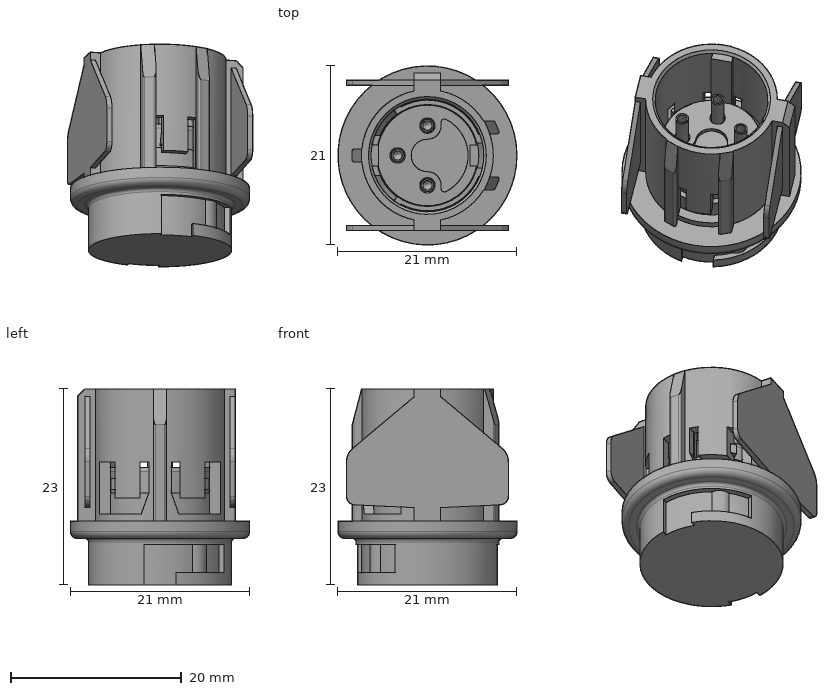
import cadquery as cq
import math

TOTAL_HEIGHT = 23.0
FLANGE_TOP = 7.5
FLANGE_BOTTOM = 5.46

BASE_RADIUS = 16.8 / 2
FLANGE_RADIUS = 21.0 / 2
FLANGE_EDGE_RADIUS = 0.8
NECK_FILLET = 0.4
TOWER_RADIUS = 7.72
BORE_RADIUS = 6.6
WALL_MIDDLE_RADIUS = (BORE_RADIUS + TOWER_RADIUS) / 2
LEDGE_RADIUS = 6.48
FOOT_HEIGHT = 0.3
BORE_CHAMFER = 0.3
LEDGE_HEIGHT = 10.8

TRACK_FLOOR_RADIUS = 7.75
TRACK_BOTTOM = 1.45
TRACK_TOP = 4.73
ENTRY_HALF_WIDTH = 1.9
TRACK_SWEEP = 63.0
DETENT_START = 29.6
DETENT_END = 44.6
DETENT_HEIGHT = 0.32

WINDOW_BOTTOM = 8.35
WINDOW_TOP = 14.4
WINDOW_INNER_Y = 1.32
WINDOW_BOTTOM_Y = 2.2
WINDOW_END_X = -3.1
TONGUE_BOTTOM = 10.2
TONGUE_WIDTH = 2.94
TONGUE_GAP = 1.0
HOOK_INNER_RADIUS = 6.02
HOOK_END_ANGLE = 126.5
HOOK_TOP = 12.5
HOOK_BOTTOM = 11.2

CARRIER_RADIUS = 5.97
CARRIER_TOP = 13.8
CARRIER_CHAMFER_HEIGHT = 0.5
CARRIER_CHAMFER_WIDTH = 0.08
KEY_HALF_WIDTH = 1.23
NOTCH_INNER_X = 5.0
KEY_INNER_X = -5.73
KEY_TOP = TOTAL_HEIGHT - BORE_CHAMFER
RECESS_RADIUS = 4.76
RECESS_CENTER_RADIUS = 1.9
RECESS_DEPTH = 0.5
RECESS_TIP_RADIUS = 0.4

PIN_CIRCLE_RADIUS = 3.5
PIN_ANGLES = (90, 180, 270)
PIN_DIAMETER = 1.48
PIN_BORE = 1.1
PIN_TOP = 17.7
PIN_BORE_DEPTH = 2.0
PIN_DRILL_POINT = 0.4
PIN_COUNTERSINK_RADIUS = 0.9
PIN_COUNTERSINK_DEPTH = 0.4

RIB_RADIUS = 8.82
RIB_WIDTH = 1.5
RIB_EDGE_RADIUS = 0.24
RIB_TAPER_START = 18.8
RIB_TOP_RADIUS = TOWER_RADIUS
SIDE_RIB_Y = 3.27
SIDE_RIB_ANGLE = 22.5

WING_OUTER_Y = 8.82
WING_THICKNESS = 0.62
WING_HALF_WIDTH = 9.5
WING_TOP = 22.08
WING_SHOULDER = 15.4
WING_BOTTOM_OUTER = 9.45
WING_BOTTOM_INNER = 9.08
WING_SHOULDER_RADIUS = 2.0
WING_BOTTOM_RADIUS = 1.0
STEM_HALF_WIDTH = 1.55
BACK_STEM_Y = 9.65


def cylinder(radius, bottom, top):
    return cq.Workplane("XY").workplane(offset=bottom).circle(radius).extrude(top - bottom)


def block(x0, x1, y0, y1, z0, z1):
    """Box spanning the given limits."""
    return cq.Workplane("XY").box(x1 - x0, y1 - y0, z1 - z0, centered=False).translate((x0, y0, z0))


def polar(radius, angle):
    return (radius * math.cos(math.radians(angle)), radius * math.sin(math.radians(angle)))


def sector(radius, start, end, bottom, top):
    """Pie slice of a disc between two angles."""
    return (
        cq.Workplane("XY").workplane(offset=bottom)
        .moveTo(0, 0).lineTo(*polar(radius, start))
        .threePointArc(polar(radius, (start + end) / 2), polar(radius, end))
        .close().extrude(top - bottom)
    )


def revolved(points):
    """Solid of revolution about Z from (radius, height) points."""
    return cq.Workplane("XZ").polyline(points).close().revolve(360, (0, 0, 0), (0, 1, 0))


def make_detent():
    """Rounded bump on the floor of a bayonet track."""
    crest = polar(TRACK_FLOOR_RADIUS + DETENT_HEIGHT, (DETENT_START + DETENT_END) / 2)
    return (
        cq.Workplane("XY").workplane(offset=TRACK_BOTTOM)
        .moveTo(*polar(TRACK_FLOOR_RADIUS, DETENT_START))
        .threePointArc(crest, polar(TRACK_FLOOR_RADIUS, DETENT_END))
        .lineTo(0, 0).close()
        .extrude(TRACK_TOP - TRACK_BOTTOM)
    )


def make_track():
    """Bayonet track on the +X side: entry slot, then a circumferential pocket with a detent."""
    outside = FLANGE_RADIUS
    entry = block(0, outside, -ENTRY_HALF_WIDTH, ENTRY_HALF_WIDTH, 0, TRACK_TOP)
    pocket = sector(outside, 0, TRACK_SWEEP, TRACK_BOTTOM, TRACK_TOP)
    floor = cylinder(TRACK_FLOOR_RADIUS, 0, TRACK_TOP)
    return entry.union(pocket).cut(floor).cut(make_detent())


def make_base():
    base = cylinder(BASE_RADIUS, 0, FLANGE_BOTTOM)
    flange = cylinder(FLANGE_RADIUS, FLANGE_BOTTOM, FLANGE_TOP)
    flange = flange.faces("<Z").edges().fillet(FLANGE_EDGE_RADIUS)
    neck_outer = BASE_RADIUS + NECK_FILLET
    arc_drop = NECK_FILLET * (1 - math.sqrt(0.5))
    neck = (
        cq.Workplane("XZ")
        .moveTo(0, FLANGE_BOTTOM - NECK_FILLET).lineTo(BASE_RADIUS, FLANGE_BOTTOM - NECK_FILLET)
        .threePointArc((BASE_RADIUS + arc_drop, FLANGE_BOTTOM - arc_drop), (neck_outer, FLANGE_BOTTOM))
        .lineTo(0, FLANGE_BOTTOM).close()
        .revolve(360, (0, 0, 0), (0, 1, 0))
    )
    body = base.union(flange).union(neck)
    for angle in (0, 180):
        body = body.cut(make_track().rotate((0, 0, 0), (0, 0, 1), angle))
    return body


def make_paired_window():
    """Window on the -X, +Y side with one lower corner cut off and a tongue hanging into it."""
    opening = (
        cq.Workplane("YZ").workplane(offset=-FLANGE_RADIUS)
        .polyline([
            (WINDOW_INNER_Y, WINDOW_TOP),
            (WINDOW_INNER_Y, LEDGE_HEIGHT),
            (WINDOW_BOTTOM_Y, WINDOW_BOTTOM),
            (TOWER_RADIUS, WINDOW_BOTTOM),
            (TOWER_RADIUS, WINDOW_TOP),
        ])
        .close().extrude(FLANGE_RADIUS + WINDOW_END_X)
    )
    tongue_y = WINDOW_INNER_Y + TONGUE_GAP
    tongue = block(-FLANGE_RADIUS, 0, tongue_y, tongue_y + TONGUE_WIDTH, TONGUE_BOTTOM, WINDOW_TOP)
    return opening.cut(tongue)


def make_single_window():
    """Window centred on the +X side with a tongue hanging into it."""
    half_tongue = TONGUE_WIDTH / 2
    half_window = half_tongue + TONGUE_GAP
    opening = block(0, FLANGE_RADIUS, -half_window, half_window, WINDOW_BOTTOM, WINDOW_TOP)
    tongue = block(0, FLANGE_RADIUS, -half_tongue, half_tongue, TONGUE_BOTTOM, WINDOW_TOP)
    return opening.cut(tongue)


def make_hooks():
    """Sloped snap hooks on the inner faces of the three tongues."""
    ring = revolved([
        (WALL_MIDDLE_RADIUS, HOOK_TOP),
        (BORE_RADIUS, HOOK_TOP),
        (HOOK_INNER_RADIUS, HOOK_BOTTOM),
        (WALL_MIDDLE_RADIUS, HOOK_BOTTOM),
    ])
    half_tongue = TONGUE_WIDTH / 2
    near = WINDOW_INNER_Y + TONGUE_GAP
    single = block(0, TOWER_RADIUS, -half_tongue, half_tongue, HOOK_BOTTOM, HOOK_TOP)
    paired = sector(TOWER_RADIUS, HOOK_END_ANGLE, 180, HOOK_BOTTOM, HOOK_TOP)
    paired = paired.cut(block(-TOWER_RADIUS, 0, 0, near, HOOK_BOTTOM, HOOK_TOP))
    return ring.intersect(single.union(paired).union(paired.mirror("XZ")))


def make_bore():
    """Bore down to the ledge, with a chamfered mouth and a narrowing foot."""
    chamfer_bottom = TOTAL_HEIGHT - BORE_CHAMFER
    return revolved([
        (0, LEDGE_HEIGHT),
        (LEDGE_RADIUS, LEDGE_HEIGHT),
        (BORE_RADIUS, LEDGE_HEIGHT + FOOT_HEIGHT),
        (BORE_RADIUS, chamfer_bottom),
        (BORE_RADIUS + BORE_CHAMFER, TOTAL_HEIGHT),
        (0, TOTAL_HEIGHT),
    ])


def make_tower():
    shell = cylinder(TOWER_RADIUS, FLANGE_TOP, TOTAL_HEIGHT).cut(make_bore())
    window = make_paired_window()
    shell = shell.cut(window).cut(window.mirror("XZ")).cut(make_single_window())
    core = cylinder(BORE_RADIUS, FLANGE_TOP, LEDGE_HEIGHT)
    key = block(-WALL_MIDDLE_RADIUS, KEY_INNER_X, -KEY_HALF_WIDTH, KEY_HALF_WIDTH, LEDGE_HEIGHT, KEY_TOP)
    return shell.union(core).union(make_hooks()).union(key)


def make_recess():
    """Crescent recess that passes between the pins with a constant gap."""
    gap = PIN_CIRCLE_RADIUS - RECESS_CENTER_RADIUS
    bottom = CARRIER_TOP - RECESS_DEPTH
    region = cylinder(RECESS_RADIUS, bottom, CARRIER_TOP)
    region = region.intersect(block(0, RECESS_RADIUS, -RECESS_RADIUS, RECESS_RADIUS, bottom, CARRIER_TOP))
    for side in (-1, 1):
        clearance = cylinder(gap, bottom, CARRIER_TOP).translate((0, side * PIN_CIRCLE_RADIUS, 0))
        y_limits = sorted((side * PIN_CIRCLE_RADIUS, side * RECESS_RADIUS))
        region = region.cut(clearance).cut(block(0, gap, *y_limits, bottom, CARRIER_TOP))
    region = region.edges("|Z").edges(">Y or <Y").fillet(RECESS_TIP_RADIUS)
    return region.union(cylinder(RECESS_CENTER_RADIUS, bottom, CARRIER_TOP))


def make_pin():
    """Contact pin with a blind hole that ends in a drill point."""
    hole_bottom = PIN_TOP - PIN_BORE_DEPTH
    return revolved([
        (0, LEDGE_HEIGHT),
        (PIN_DIAMETER / 2, LEDGE_HEIGHT),
        (PIN_DIAMETER / 2, PIN_TOP),
        (PIN_BORE / 2, PIN_TOP),
        (PIN_BORE / 2, hole_bottom),
        (0, hole_bottom - PIN_DRILL_POINT),
    ])


def make_pin_countersink():
    """Cone cut into the carrier face around a pin."""
    return revolved([
        (0, CARRIER_TOP - PIN_COUNTERSINK_DEPTH),
        (PIN_DIAMETER / 2, CARRIER_TOP - PIN_COUNTERSINK_DEPTH),
        (PIN_COUNTERSINK_RADIUS, CARRIER_TOP),
        (0, CARRIER_TOP),
    ])


def make_carrier():
    """Round carrier inside the bore that holds the contact pins."""
    carrier = cylinder(CARRIER_RADIUS, LEDGE_HEIGHT, CARRIER_TOP)
    carrier = carrier.faces(">Z").chamfer(CARRIER_CHAMFER_HEIGHT, CARRIER_CHAMFER_WIDTH)
    notch = block(
        NOTCH_INNER_X, TOWER_RADIUS, -KEY_HALF_WIDTH, KEY_HALF_WIDTH, LEDGE_HEIGHT, CARRIER_TOP
    )
    carrier = carrier.cut(notch).cut(make_recess())
    for angle in PIN_ANGLES:
        position = (*polar(PIN_CIRCLE_RADIUS, angle), 0)
        carrier = carrier.cut(make_pin_countersink().translate(position))
        carrier = carrier.union(make_pin().translate(position))
    return carrier


def make_rib(center_y, face_angle):
    """Rib on the +X side with sides parallel to X and its outer face square to face_angle."""
    low_y = center_y - RIB_WIDTH / 2
    plan = block(0, 2 * RIB_RADIUS, low_y, low_y + RIB_WIDTH, FLANGE_TOP, TOTAL_HEIGHT)
    limit = block(0, RIB_RADIUS, -RIB_RADIUS, RIB_RADIUS, FLANGE_TOP, TOTAL_HEIGHT)
    plan = plan.intersect(limit.rotate((0, 0, 0), (0, 0, 1), face_angle))
    outer_edges = cq.selectors.BoxSelector(
        (TOWER_RADIUS, -RIB_RADIUS, FLANGE_TOP), (2 * RIB_RADIUS, RIB_RADIUS, TOTAL_HEIGHT)
    )
    plan = plan.edges("|Z").edges(outer_edges).fillet(RIB_EDGE_RADIUS)
    taper = (
        cq.Workplane("XZ")
        .polyline([
            (0, FLANGE_TOP),
            (RIB_RADIUS, FLANGE_TOP),
            (RIB_RADIUS, RIB_TAPER_START),
            (RIB_TOP_RADIUS, TOTAL_HEIGHT),
            (0, TOTAL_HEIGHT),
        ])
        .close().extrude(RIB_RADIUS, both=True)
        .rotate((0, 0, 0), (0, 0, 1), face_angle)
    )
    bore = cylinder(WALL_MIDDLE_RADIUS, FLANGE_TOP, TOTAL_HEIGHT)
    return plan.intersect(taper).cut(bore)


def make_ribs():
    ribs = make_rib(0, 0).rotate((0, 0, 0), (0, 0, 1), 180)
    for side in (-1, 1):
        ribs = ribs.union(make_rib(side * SIDE_RIB_Y, side * SIDE_RIB_ANGLE))
    return ribs


def make_wing():
    """Flat wing whose outer face is at -Y."""
    wing_middle_y = -WING_OUTER_Y + WING_THICKNESS / 2
    right = [
        (STEM_HALF_WIDTH, WING_TOP),
        (WING_HALF_WIDTH, WING_SHOULDER),
        (WING_HALF_WIDTH, WING_BOTTOM_OUTER),
        (STEM_HALF_WIDTH, WING_BOTTOM_INNER),
    ]
    left = [(-x, z) for x, z in reversed(right)]
    plate = (
        cq.Workplane("XZ", origin=(0, -WING_OUTER_Y + WING_THICKNESS, 0))
        .polyline(right + left).close().extrude(WING_THICKNESS)
    )
    for corner_z, radius in (
        (WING_SHOULDER, WING_SHOULDER_RADIUS),
        (WING_BOTTOM_OUTER, WING_BOTTOM_RADIUS),
    ):
        for corner_x in (-WING_HALF_WIDTH, WING_HALF_WIDTH):
            corner = cq.selectors.NearestToPointSelector((corner_x, wing_middle_y, corner_z))
            plate = plate.edges("|Y").edges(corner).fillet(radius)
    return plate


def make_stem(outer_y):
    """Stem on the -Y side joining a wing to the tower."""
    return block(-STEM_HALF_WIDTH, STEM_HALF_WIDTH, -outer_y, -WALL_MIDDLE_RADIUS, FLANGE_TOP, TOTAL_HEIGHT)


def make_wings():
    wing = make_wing()
    front = wing.union(make_stem(WING_OUTER_Y))
    back_stem = make_stem(BACK_STEM_Y).edges("<Y and >Z").chamfer(BACK_STEM_Y - WING_OUTER_Y)
    back = wing.union(back_stem).mirror("XZ")
    return front.union(back)


result = make_base().union(make_tower()).union(make_carrier()).union(make_ribs()).union(make_wings())